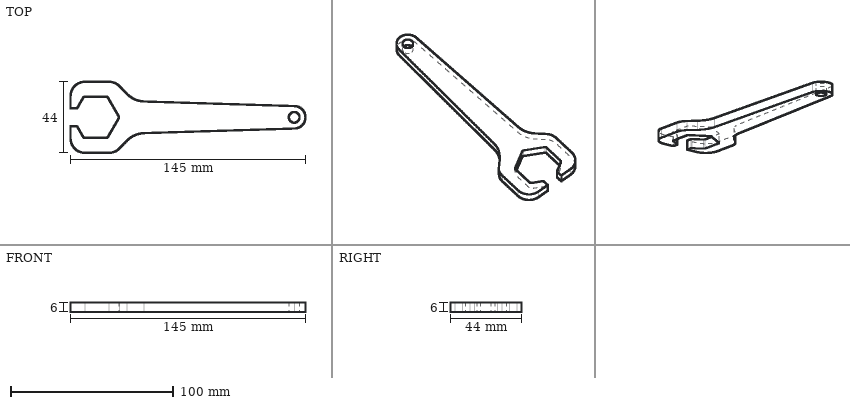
import cadquery as cq
import math

length = 145.0
head_width = 44.0
thickness = 6.0

across_flats = 25.2
hexagon_x = 15.5
mouth_width = 11.0
seat_corner_radius = 1.0
mouth_edge_radius = 0.5

head_corner_x = 27.6
corner_radius = 9.0
neck_angle = math.radians(46.0)
neck_radius = 15.5

end_radius = 7.0
taper_angle = math.radians(1.75)
hang_hole_diameter = 6.5

head_half_width = head_width / 2
hexagon_diameter = across_flats / math.cos(math.pi / 6)
end_x = length - end_radius

side_end_x = end_x + end_radius * math.sin(taper_angle)
side_end_y = end_radius * math.cos(taper_angle)

neck_slope = math.tan(neck_angle)
taper_slope = math.tan(taper_angle)
head_drop = head_half_width - side_end_y - (side_end_x - head_corner_x) * taper_slope
neck_x = head_corner_x + head_drop / (neck_slope - taper_slope)
neck_y = side_end_y + (side_end_x - neck_x) * taper_slope

mouth_half_width = mouth_width / 2
mouth_end_x = hexagon_x - (hexagon_diameter / 2 - mouth_half_width / math.tan(math.pi / 3))


def round_upright_edges(body, places, radius):
    """Round the upright edges at each (x, y) place and at its mirror across y = 0."""
    for x, y in places:
        for side in (1, -1):
            edge = cq.selectors.NearestToPointSelector((x, side * y, thickness / 2))
            body = body.edges("|Z").edges(edge).fillet(radius)
    return body


def make_blank():
    """Wrench outline without openings, with rounded head corners and neck."""
    blank = (
        cq.Workplane("XY")
        .moveTo(0, head_half_width)
        .lineTo(head_corner_x, head_half_width)
        .lineTo(neck_x, neck_y)
        .lineTo(side_end_x, side_end_y)
        .threePointArc((length, 0), (side_end_x, -side_end_y))
        .lineTo(neck_x, -neck_y)
        .lineTo(head_corner_x, -head_half_width)
        .lineTo(0, -head_half_width)
        .close()
        .extrude(thickness)
    )
    head_corners = [(0, head_half_width), (head_corner_x, head_half_width)]
    blank = round_upright_edges(blank, head_corners, corner_radius)
    return round_upright_edges(blank, [(neck_x, neck_y)], neck_radius)


def make_jaw_opening():
    """Hexagonal nut seat with rounded corners, joined to the mouth that opens at x = 0."""
    seat = (
        cq.Workplane("XY")
        .center(hexagon_x, 0)
        .polygon(6, hexagon_diameter)
        .extrude(thickness)
        .edges("|Z")
        .fillet(seat_corner_radius)
    )
    mouth = cq.Workplane("XY").box(hexagon_x, mouth_width, thickness, centered=(False, True, False))
    return seat.union(mouth)


def make_hang_hole():
    """Through hole concentric with the rounded end of the handle."""
    return cq.Workplane("XY").center(end_x, 0).circle(hang_hole_diameter / 2).extrude(thickness)


result = make_blank().cut(make_jaw_opening()).cut(make_hang_hole())
result = round_upright_edges(result, [(mouth_end_x, mouth_half_width)], mouth_edge_radius)